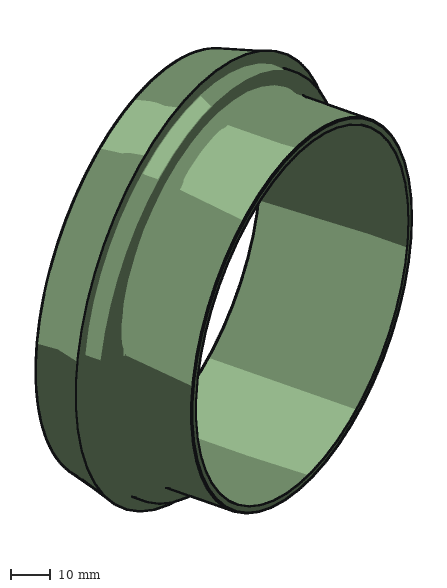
import cadquery as cq
import math

total_length = 44.0
collar_back = 15.0
shoulder_back = 20.0

bore_radius = 50.0
pipe_radius = 52.0
shoulder_radius = 56.9
collar_radius = 60.5

collar_taper = math.tan(math.radians(15))
front_setback = 0.6
blend_radius = 4.0
collar_edge_round = 0.4
corner_round = 0.2
bore_chamfer = 0.4
pipe_chamfer = 0.2

collar_front_radius = collar_radius - (collar_back - front_setback) * collar_taper
blend_end = shoulder_back + blend_radius

half_section = (
    cq.Workplane("XY")
    .moveTo(0, bore_radius + bore_chamfer)
    .lineTo(front_setback, collar_front_radius)
    .lineTo(collar_back, collar_radius)
    .lineTo(collar_back, shoulder_radius)
    .lineTo(shoulder_back, shoulder_radius)
    .lineTo(shoulder_back, pipe_radius + blend_radius)
    .radiusArc((blend_end, pipe_radius), -blend_radius)
    .lineTo(total_length - pipe_chamfer, pipe_radius)
    .lineTo(total_length, pipe_radius - pipe_chamfer)
    .lineTo(total_length, bore_radius)
    .lineTo(bore_chamfer, bore_radius)
    .close()
)

ring = half_section.revolve(360, (0, 0, 0), (1, 0, 0))


def round_edge(body, x, radius, round_radius):
    """Round the circular edge at axial position x that has the given radius."""
    tolerance = 0.01
    edge = body.edges("%CIRCLE").filter(
        lambda e: abs(e.arcCenter().x - x) < tolerance and abs(e.radius() - radius) < tolerance
    )
    return edge.fillet(round_radius)


ring = round_edge(ring, front_setback, collar_front_radius, collar_edge_round)
ring = round_edge(ring, collar_back, shoulder_radius, corner_round)
ring = round_edge(ring, shoulder_back, shoulder_radius, corner_round)

result = ring